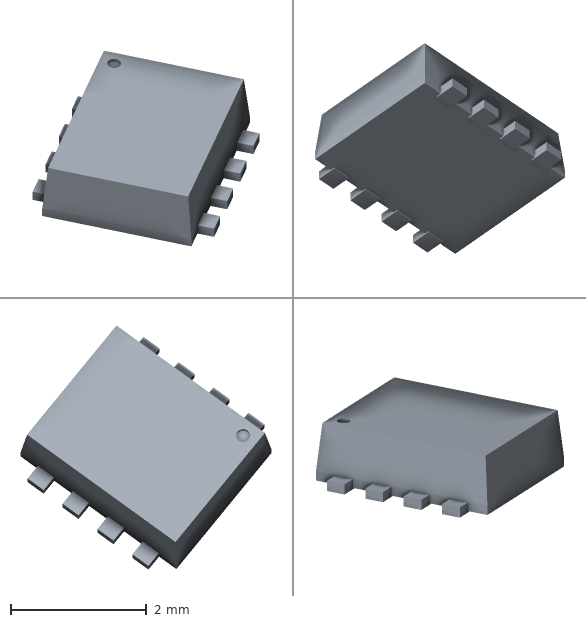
import cadquery as cq

body_width = 2.3
body_length = 2.9
total_height = 0.92
standoff = 0.02
band_top = 0.17
taper_inset = 0.07

lead_span = 2.8
lead_length = 0.322
lead_width = 0.3
lead_thickness = 0.16
lead_pitch = 0.65
leads_per_side = 4

marker_diameter = 0.2
marker_depth = 0.05
marker_x = -0.85
marker_y = 1.15


def make_body():
    band = (
        cq.Workplane("XY")
        .workplane(offset=standoff)
        .rect(body_width, body_length)
        .extrude(band_top - standoff)
    )
    cap = (
        cq.Workplane("XY")
        .workplane(offset=band_top)
        .rect(body_width, body_length)
        .workplane(offset=total_height - band_top)
        .rect(body_width - 2 * taper_inset, body_length - 2 * taper_inset)
        .loft(ruled=True)
    )
    return band.union(cap, clean=False)


def make_leads():
    row_spacing = lead_span - lead_length
    return (
        cq.Workplane("XY")
        .rarray(row_spacing, lead_pitch, 2, leads_per_side)
        .rect(lead_length, lead_width)
        .extrude(lead_thickness)
    )


def make_marker():
    return (
        cq.Workplane("XY")
        .workplane(offset=total_height - marker_depth)
        .center(marker_x, marker_y)
        .circle(marker_diameter / 2)
        .extrude(marker_depth)
    )


result = make_body().union(make_leads()).cut(make_marker())